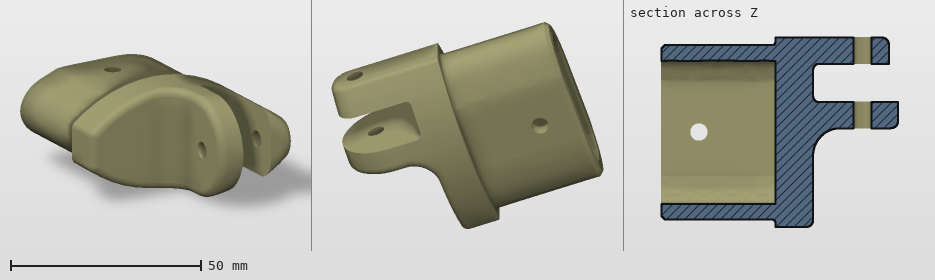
import cadquery as cq
import math

total_length = 62.3
tube_length = 29.9
flange_thickness = 10.1
flange_end = tube_length + flange_thickness

tube_half_width = 23.05
tube_half_height = 10.05
tube_flat_half = 6.85
tube_chamfer = 1.0
tube_root_radius = 0.5

pocket_half_width = 18.75
pocket_half_height = 5.75
pocket_flat_half = 11.5
pocket_depth = tube_length

flange_half_width = 25.0
flange_height = 28.0
flange_half_height = flange_height / 2
flange_arc_radius = 39.15

main_ear_outer_y = 1.0
slot_start_y = 8.0
slot_end_y = 17.95
outer_ear_end = 59.95
main_ear_end_radius = 13.1
outer_ear_end_radius = 5.1
slot_root_radius = 1.5
ear_root_radius = 7.0
edge_radius = 2.0

hole_diameter = 4.55
tube_hole_x = 10.0
ear_hole_x = 52.9


def flat_oval(half_width, half_height, flat_half):
    """Outline in the YZ plane with straight top and bottom and half-ellipse ends."""
    end_length = half_width - flat_half
    right_end = half_ellipse(flat_half, end_length, half_height)
    left_end = half_ellipse(-flat_half, -end_length, -half_height)
    return (
        cq.Workplane("YZ")
        .moveTo(-flat_half, half_height)
        .lineTo(flat_half, half_height)
        .spline(right_end, includeCurrent=True, tangents=[(1, 0), (-1, 0)])
        .lineTo(-flat_half, -half_height)
        .spline(left_end, includeCurrent=True, tangents=[(-1, 0), (1, 0)])
        .close()
    )


def half_ellipse(center_y, end_length, half_height):
    """Points on a half ellipse, leaving out its starting point."""
    steps = 8
    angles = [math.pi * step / steps for step in range(1, steps + 1)]
    return [(center_y + end_length * math.sin(a), half_height * math.cos(a)) for a in angles]


def tube():
    outline = flat_oval(tube_half_width, tube_half_height, tube_flat_half)
    return outline.extrude(tube_length).faces("<X").chamfer(tube_chamfer)


def pocket():
    return flat_oval(pocket_half_width, pocket_half_height, pocket_flat_half).extrude(pocket_depth)


def lens_prism(end_x, end_radius):
    """Overlap of two large cylinders along X, each with its rim at end_x rounded."""
    axis_offset = flange_arc_radius - flange_half_height
    cylinder = (
        cq.Workplane("YZ", origin=(tube_length, 0, 0))
        .circle(flange_arc_radius)
        .extrude(end_x - tube_length)
        .faces(">X")
        .edges()
        .fillet(end_radius)
    )
    return cylinder.translate((0, 0, -axis_offset)).intersect(cylinder.translate((0, 0, axis_offset)))


def near(x, y):
    """Selector for edges whose centre is close to (x, y) at mid-height."""
    reach = 0.3
    return cq.selectors.BoxSelector((x - reach, y - reach, -reach), (x + reach, y + reach, reach))


def slab(end_x, start_y, end_y):
    """Full-height block from the start of the flange to end_x."""
    return cq.Workplane("XY").box(
        end_x - tube_length, end_y - start_y, 2 * flange_half_height, centered=(False, False, True)
    ).translate((tube_length, start_y, 0))


def flange_and_ears():
    """Flange with both ears, held inside the lens-shaped prism."""
    main_plan = slab(flange_end, -flange_half_width, flange_half_width).union(
        slab(total_length, main_ear_outer_y, slot_start_y)
    )
    main_plan = main_plan.edges(near(flange_end, main_ear_outer_y)).fillet(ear_root_radius)
    main_plan = main_plan.edges(near(flange_end, slot_start_y)).fillet(slot_root_radius)
    outer_plan = slab(flange_end, slot_start_y + slot_root_radius, flange_half_width).union(
        slab(outer_ear_end, slot_end_y, flange_half_width)
    )
    outer_plan = outer_plan.edges(near(flange_end, slot_end_y)).fillet(slot_root_radius)
    main_body = main_plan.intersect(lens_prism(total_length, main_ear_end_radius))
    outer_body = outer_plan.intersect(lens_prism(outer_ear_end, outer_ear_end_radius))
    return soften_edges(main_body.union(outer_body).clean())


def soften_edges(body):
    """Round the flange corners and outer ear tip, then the joined rim of flange and main ear."""
    for side_face in ("<Y", ">Y"):
        body = body.faces(side_face).edges("|X").fillet(edge_radius)
    return body.edges(near(flange_end, -flange_half_width)).fillet(edge_radius)


def pin_hole(plane, x):
    """Hole through the whole part, centred on the given plane."""
    reach = 2 * flange_half_width
    return cq.Workplane(plane).center(x, 0).circle(hole_diameter / 2).extrude(reach, both=True)


def round_tube_root(body):
    """Fillet the inside corner where the tube meets the flange."""
    margin = 0.05
    root_edges = cq.selectors.BoxSelector(
        (tube_length - margin, -tube_half_width - margin, -tube_half_height - margin),
        (tube_length + margin, tube_half_width + margin, tube_half_height + margin),
    )
    return body.edges(root_edges).fillet(tube_root_radius)


result = round_tube_root(tube().union(flange_and_ears()))
result = result.cut(pocket()).cut(pin_hole("XY", tube_hole_x)).cut(pin_hole("XZ", ear_hole_x))